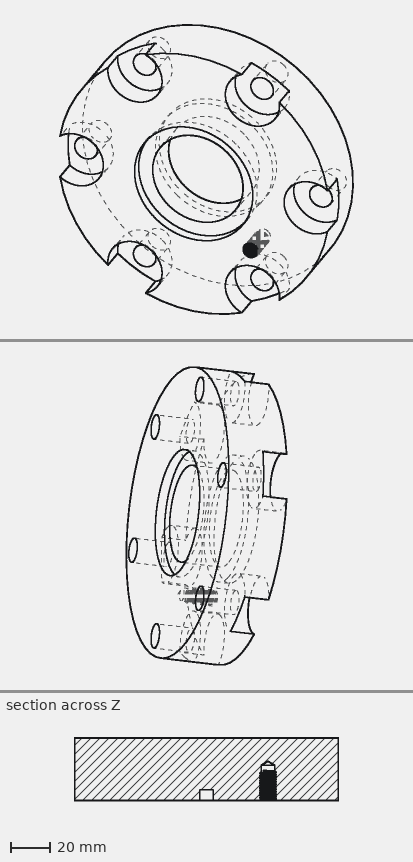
import cadquery as cq
import math

disc_diameter = 150.0
disc_thickness = 32.0
front_y = -disc_thickness / 2

bore_diameter = 50.0
front_seat_diameter = 65.5
front_seat_depth = 5.5
back_seat_diameter = 65.0
back_seat_depth = 5.0

bolt_count = 6
bolt_circle_radius = 65.0
bolt_hole_diameter = 12.5
counterbore_diameter = 30.0
counterbore_depth = 13.0

tapped_circle_radius = 45.25
tapped_angle = -46.0
thread_minor_diameter = 6.78
thread_major_diameter = 8.17
thread_pitch = 1.25
thread_depth = 15.0
thread_start_angle = 130.0
drill_depth = 18.0
drill_point_angle = 118.0
thread_flank_angle = 30.0
groove_root_width = thread_pitch / 8
groove_overlap = 0.2


def polar_point(radius, angle):
    """X and Z of a point on the disc, with the angle measured from +X towards +Z."""
    return radius * math.cos(math.radians(angle)), radius * math.sin(math.radians(angle))


def front_cylinder(diameter, depth, center=(0.0, 0.0)):
    """Cylinder running from the front face into the disc at an X, Z center."""
    start = cq.Vector(center[0], front_y, center[1])
    return cq.Workplane(cq.Solid.makeCylinder(diameter / 2, depth, start, cq.Vector(0, 1, 0)))


def cut_central_bore(body):
    body = body.cut(front_cylinder(bore_diameter, disc_thickness))
    body = body.cut(front_cylinder(front_seat_diameter, front_seat_depth))
    back_seat = front_cylinder(back_seat_diameter, back_seat_depth)
    return body.cut(back_seat.translate((0, disc_thickness - back_seat_depth, 0)))


def cut_bolt_holes(body):
    for index in range(bolt_count):
        center = polar_point(bolt_circle_radius, index * 360 / bolt_count)
        body = body.cut(front_cylinder(bolt_hole_diameter, disc_thickness, center))
        body = body.cut(front_cylinder(counterbore_diameter, counterbore_depth, center))
    return body


def drill_cutter():
    """Drilled hole along +Z from the origin, with a conical end."""
    radius = thread_minor_diameter / 2
    point_length = radius / math.tan(math.radians(drill_point_angle / 2))
    profile = [(0, 0), (radius, 0), (radius, drill_depth), (0, drill_depth + point_length)]
    return cq.Workplane("XZ").polyline(profile).close().revolve(360, (0, 0), (0, 1))


def thread_cutter():
    """Helical groove with sloped flanks along +Z, starting one pitch outside the face."""
    inner_radius = thread_minor_diameter / 2 - groove_overlap
    outer_radius = thread_major_diameter / 2
    root_half_width = groove_root_width / 2
    flank_width = (outer_radius - inner_radius) * math.tan(math.radians(thread_flank_angle))
    mouth_half_width = root_half_width + flank_width
    profile = [
        (inner_radius, -mouth_half_width),
        (outer_radius, -root_half_width),
        (outer_radius, root_half_width),
        (inner_radius, mouth_half_width),
    ]
    helix = cq.Wire.makeHelix(thread_pitch, thread_depth + thread_pitch, thread_minor_diameter / 2)
    groove = cq.Workplane("XZ").polyline(profile).close().sweep(cq.Workplane(helix), isFrenet=True)
    groove = groove.rotate((0, 0, 0), (0, 0, 1), thread_start_angle)
    return groove.translate((0, 0, -thread_pitch))


def cut_tapped_hole(body):
    x, z = polar_point(tapped_circle_radius, tapped_angle)
    for cutter in (drill_cutter(), thread_cutter()):
        placed = cutter.rotate((0, 0, 0), (1, 0, 0), -90).translate((x, front_y, z))
        body = body.cut(placed)
    return body


result = front_cylinder(disc_diameter, disc_thickness)
result = cut_central_bore(result)
result = cut_bolt_holes(result)
result = cut_tapped_hole(result)